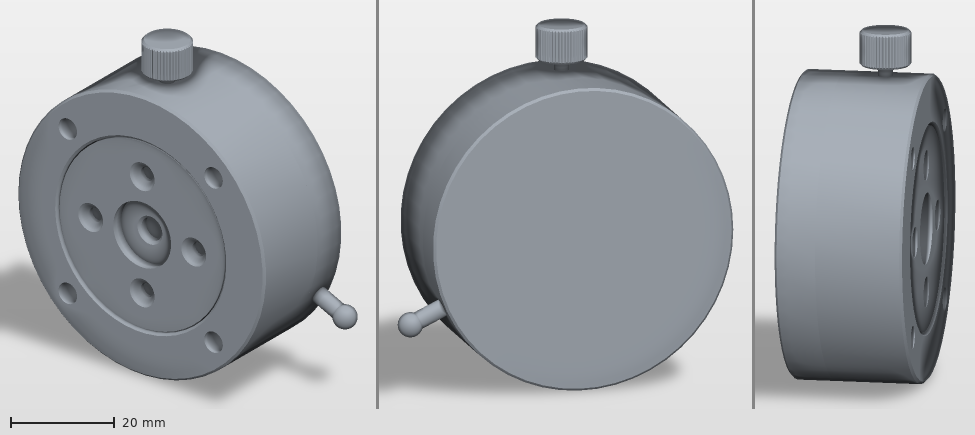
import cadquery as cq
import math


body_diameter = 60.0
body_depth = 25.0
plate_thickness = 8.0
edge_chamfer = 0.5
front_y = -body_depth / 2
back_y = body_depth / 2
joint_y = back_y - plate_thickness
ring_mid_y = (front_y + joint_y) / 2
body_radius = body_diameter / 2

bore_diameter = 40.5
bore_chamfer = 0.5
hub_diameter = 40.0
hub_setback = 0.5
hub_front_y = front_y + hub_setback

mount_hole_diameter = 4.5
mount_circle_radius = 25.0

screw_hole_diameter = 3.0
screw_hole_depth = 2.5
countersink_diameter = 6.0
countersink_depth = 1.5
screw_circle_radius = 12.5

recess_diameter = 14.0
recess_depth = screw_hole_depth
center_hole_diameter = 4.9
center_hole_depth = 2.0
center_chamfer = 0.55

knob_diameter = 10.0
knob_height = 7.0
knob_chamfer = 0.5
overall_height = 69.0
knob_top_z = overall_height - body_radius
knob_bottom_z = knob_top_z - knob_height
stem_diameter = 3.0
groove_count = 50
groove_depth = 0.2
tooth_land = 0.5

lever_angle = -25.0
lever_y = back_y - plate_thickness / 2
rod_diameter = 3.5
ball_diameter = 4.9
ball_distance = 37.05
lever_root_radius = 27.6


def front_plane(y):
    """Workplane at the given y whose normal is +Y, with local x along -X and local y along Z."""
    return cq.Workplane(cq.Plane(origin=(0, y, 0), xDir=(-1, 0, 0), normal=(0, 1, 0)))


def disc(diameter, start_y, depth):
    """Cylinder on the bearing axis that runs from start_y toward +Y."""
    return front_plane(start_y).circle(diameter / 2).extrude(depth)


def cone(start_diameter, end_diameter, depth):
    """Tapered cutter on the bearing axis; it starts at y = 0 and runs toward +Y."""
    return cq.Workplane(cq.Solid.makeCone(
        start_diameter / 2, end_diameter / 2, depth, cq.Vector(0, 0, 0), cq.Vector(0, 1, 0)
    ))


def around_axis(radius, start_angle):
    """Four equally spaced (x, z) places around the bearing axis."""
    angles = [math.radians(start_angle + 90 * i) for i in range(4)]
    return [(radius * math.cos(a), radius * math.sin(a)) for a in angles]


def make_knob():
    """Knurled knob with a V groove along each knurl line."""
    knob = (
        cq.Workplane("XY", origin=(0, ring_mid_y, knob_bottom_z))
        .circle(knob_diameter / 2)
        .extrude(knob_height)
        .edges()
        .chamfer(knob_chamfer)
    )
    outer = knob_diameter / 2
    pitch = 2 * math.pi / groove_count
    points = []
    for i in range(groove_count):
        tooth = ((outer, i - tooth_land / 2), (outer, i + tooth_land / 2), (outer - groove_depth, i + 0.5))
        for radius, turn in tooth:
            points.append((radius * math.cos(turn * pitch), radius * math.sin(turn * pitch)))
    knurl = (
        cq.Workplane("XY", origin=(0, ring_mid_y, knob_bottom_z))
        .polyline(points)
        .close()
        .extrude(knob_height)
    )
    return knob.intersect(knurl)


def make_housing():
    """Fixed ring with its bore, mounting holes and clamping knob."""
    ring = disc(body_diameter, front_y, joint_y - front_y).faces("<Y").chamfer(edge_chamfer)

    stem_start_z = (body_diameter + bore_diameter) / 4
    stem = (
        cq.Workplane("XY", origin=(0, ring_mid_y, stem_start_z))
        .circle(stem_diameter / 2)
        .extrude(knob_bottom_z - stem_start_z)
    )
    ring = ring.union(stem).union(make_knob())

    ring = ring.cut(disc(bore_diameter, front_y, body_depth))
    bore_mouth = cone(bore_diameter + 2 * bore_chamfer, bore_diameter, bore_chamfer)
    ring = ring.cut(bore_mouth.translate((0, front_y, 0)))

    mount_hole = disc(mount_hole_diameter, front_y, joint_y - front_y)
    for x, z in around_axis(mount_circle_radius, 45):
        ring = ring.cut(mount_hole.translate((x, 0, z)))
    return ring


def make_lever():
    """Rod with a ball end that points radially out of the rim."""
    angle = math.radians(lever_angle)
    outward = cq.Vector(math.cos(angle), 0, math.sin(angle))
    middle = cq.Vector(0, lever_y, 0)
    rod = cq.Solid.makeCylinder(
        rod_diameter / 2,
        ball_distance - lever_root_radius,
        middle + outward * lever_root_radius,
        outward,
    )
    ball_center = middle + outward * ball_distance
    ball = cq.Workplane(cq.Plane(origin=ball_center, normal=outward)).sphere(ball_diameter / 2)
    return ball.union(cq.Workplane(rod))


def make_rotor():
    """Back plate with the hub that fills the bore, and the lever that turns them."""
    rotor = disc(body_diameter, joint_y, plate_thickness).faces(">Y").chamfer(edge_chamfer)
    hub = disc(hub_diameter, hub_front_y, joint_y - hub_front_y)
    rotor = rotor.union(hub).union(make_lever())

    screw_hole = disc(screw_hole_diameter, hub_front_y, screw_hole_depth)
    countersink = cone(countersink_diameter, screw_hole_diameter, countersink_depth)
    screw_hole = screw_hole.union(countersink.translate((0, hub_front_y, 0)))
    for x, z in around_axis(screw_circle_radius, 0):
        rotor = rotor.cut(screw_hole.translate((x, 0, z)))

    recess_floor_y = hub_front_y + recess_depth
    rotor = rotor.cut(disc(recess_diameter, hub_front_y, recess_depth))
    rotor = rotor.cut(disc(center_hole_diameter, recess_floor_y, center_hole_depth))
    mouth = cone(center_hole_diameter + 2 * center_chamfer, center_hole_diameter, center_chamfer)
    return rotor.cut(mouth.translate((0, recess_floor_y, 0)))


housing = make_housing()
rotor = make_rotor()

result = cq.Compound.makeCompound([housing.val(), rotor.val()])